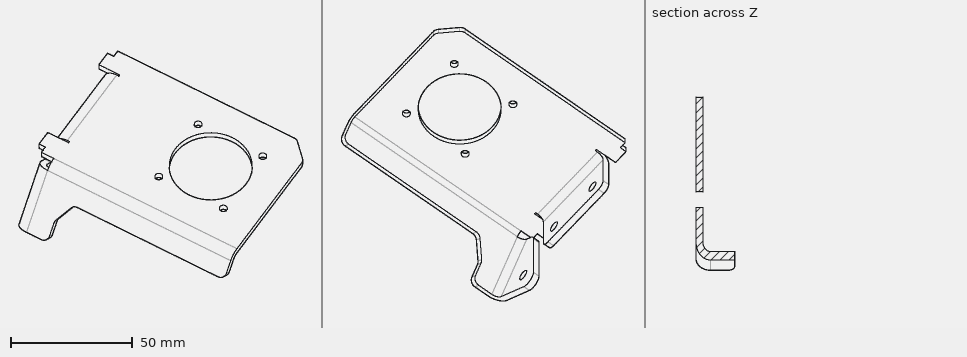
import cadquery as cq
import math

thickness = 3.0
outer_radius = 2 * thickness
inner_radius = outer_radius - thickness
corner_radius = 3.0
right_angle = 90.0
margin = 1.0

length = 97.0
plate_depth = 60.2
tab_reach = 3.0
tab_setback = 3.1
plate_chamfer = 8.0
slot_length = 10.0
slot_start = 10.0
slot_width = 0.7
mid_y = -plate_depth / 2

bore_x = 66.1
bore_diameter = 34.0
screw_spacing = 31.0
screw_diameter = 3.2

left_flange_width = plate_depth - 2 * (slot_start + slot_width)
left_flange_height = 24.9
mount_diameter = 4.5
mount_spacing = 25.0
mount_drop = 17.9

skirt_angle = 55.0
skirt_length = 29.0
skirt_short = 9.0
skirt_foot_end = 19.0
skirt_step_angle = 60.0
skirt_step_start = 24.7
bend_end_x = tab_reach + outer_radius

ear_edge_y = -56.0
ear_radius = 4.0
ear_hole_y = -62.7
ear_hole_z = -30.7

sin_a = math.sin(math.radians(skirt_angle))
cos_a = math.cos(math.radians(skirt_angle))
skirt_y = -plate_depth - outer_radius * sin_a
skirt_z = -outer_radius * (1 - cos_a)


def make_plate():
    """Flat plate with locating tabs, relief slots, bore and screw holes."""
    plate = (
        cq.Workplane("XY")
        .box(length - tab_reach, plate_depth, thickness, centered=False)
        .translate((tab_reach, -plate_depth, -thickness))
    )
    plate = plate.edges("|Z and >X and >Y").chamfer(plate_chamfer)
    chamfer_ends = cq.selectors.BoxSelector(
        (length - plate_chamfer - margin, -plate_chamfer - margin, -thickness - margin),
        (length + margin, margin, margin),
    )
    plate = plate.edges("|Z").edges(chamfer_ends).fillet(corner_radius)

    tab_width = slot_start - tab_setback
    tab_offset = plate_depth / 2 - tab_setback - tab_width / 2
    slot_offset = plate_depth / 2 - slot_start - slot_width / 2
    for side in (-1, 1):
        tab = cq.Workplane("XY").box(
            slot_length, tab_width, thickness, centered=(False, True, False)
        )
        plate = plate.union(tab.translate((0, mid_y + side * tab_offset, -thickness)))
    bend_gap = cq.Workplane("XY").box(
        bend_end_x, left_flange_width + slot_width, thickness, centered=(False, True, False)
    )
    plate = plate.cut(bend_gap.translate((0, mid_y, -thickness)))
    for side in (-1, 1):
        slot = cq.Workplane("XY").box(
            slot_length, slot_width, thickness, centered=(False, True, False)
        )
        plate = plate.cut(slot.translate((0, mid_y + side * slot_offset, -thickness)))

    bore = cq.Workplane("XY").center(bore_x, mid_y).circle(bore_diameter / 2).extrude(-thickness)
    screws = (
        cq.Workplane("XY")
        .center(bore_x, mid_y)
        .rect(screw_spacing, screw_spacing, forConstruction=True)
        .vertices()
        .circle(screw_diameter / 2)
        .extrude(-thickness)
    )
    return plate.cut(bore).cut(screws)


def bend_profile(workplane, angle):
    """Bend section starting at the local origin, turning clockwise from the local +X direction."""
    def arc_point(radius, turn):
        turn = math.radians(turn)
        return (radius * math.sin(turn), radius * math.cos(turn) - outer_radius)

    return (
        workplane.moveTo(0, 0)
        .threePointArc(arc_point(outer_radius, angle / 2), arc_point(outer_radius, angle))
        .lineTo(*arc_point(inner_radius, angle))
        .threePointArc(arc_point(inner_radius, angle / 2), arc_point(inner_radius, 0))
        .close()
    )


def make_left_flange():
    """Quarter bend and drilled vertical flange on the left edge."""
    section = cq.Plane(
        origin=(bend_end_x, mid_y - left_flange_width / 2, 0), xDir=(-1, 0, 0), normal=(0, 1, 0)
    )
    bend = bend_profile(cq.Workplane(section), right_angle).extrude(left_flange_width)
    flat_height = left_flange_height - outer_radius
    flange = (
        cq.Workplane("XY")
        .box(thickness, left_flange_width, flat_height, centered=(False, True, False))
        .translate((tab_reach, mid_y, -left_flange_height))
        .edges("|X and <Z")
        .fillet(corner_radius)
    )
    holes = (
        cq.Workplane("YZ", origin=(tab_reach, mid_y, -mount_drop))
        .pushPoints([(-mount_spacing / 2, 0), (mount_spacing / 2, 0)])
        .circle(mount_diameter / 2)
        .extrude(thickness)
    )
    return bend.union(flange.cut(holes))


def make_skirt():
    """Front bend and stepped sloping skirt."""
    section = cq.Plane(
        origin=(length, -plate_depth, 0), xDir=(0, -1, 0), normal=(-1, 0, 0)
    )
    bend = bend_profile(cq.Workplane(section), skirt_angle).extrude(length - bend_end_x)

    face = cq.Plane(origin=(0, skirt_y, skirt_z), xDir=(1, 0, 0), normal=(0, -sin_a, cos_a))
    step_run = skirt_step_start - skirt_foot_end
    step_end = skirt_short + step_run * math.tan(math.radians(skirt_step_angle))
    skirt = (
        cq.Workplane(face)
        .moveTo(bend_end_x, 0)
        .lineTo(length, 0)
        .lineTo(length, -skirt_short)
        .lineTo(skirt_step_start, -skirt_short)
        .lineTo(skirt_foot_end, -step_end)
        .lineTo(skirt_foot_end, -skirt_length)
        .lineTo(bend_end_x, -skirt_length)
        .close()
        .extrude(-thickness)
    )
    thickness_edges = cq.selectors.ParallelDirSelector(face.zDir)
    rounded = cq.selectors.BoxSelector(
        (bend_end_x + margin, skirt_y - plate_depth, -plate_depth),
        (length + margin, 0, skirt_z - skirt_short * sin_a / 2),
    )
    skirt = skirt.edges(thickness_edges).edges(rounded).fillet(corner_radius)
    return bend.union(skirt)


def make_ear():
    """Quarter bend along the skirt's left end and the drilled triangular flange."""
    section = cq.Plane(
        origin=(bend_end_x, skirt_y, skirt_z), xDir=(-1, 0, 0), normal=(0, cos_a, sin_a)
    )
    bend = bend_profile(cq.Workplane(section), right_angle).extrude(-skirt_length)

    top = (skirt_y + outer_radius * sin_a, skirt_z - outer_radius * cos_a)
    bottom = (top[0] - skirt_length * cos_a, top[1] - skirt_length * sin_a)
    edge_slope = cos_a / sin_a
    flange = (
        cq.Workplane("YZ", origin=(tab_reach, 0, 0))
        .moveTo(*top)
        .lineTo(ear_edge_y, top[1] - (ear_edge_y - top[0]) * edge_slope)
        .lineTo(ear_edge_y, bottom[1] - (ear_edge_y - bottom[0]) * edge_slope)
        .lineTo(*bottom)
        .close()
        .extrude(thickness)
        .edges("|X and >Y")
        .fillet(ear_radius)
    )
    hole = (
        cq.Workplane("YZ", origin=(tab_reach, ear_hole_y, ear_hole_z))
        .circle(mount_diameter / 2)
        .extrude(thickness)
    )
    return bend.union(flange.cut(hole))


result = make_plate().union(make_left_flange()).union(make_skirt()).union(make_ear())